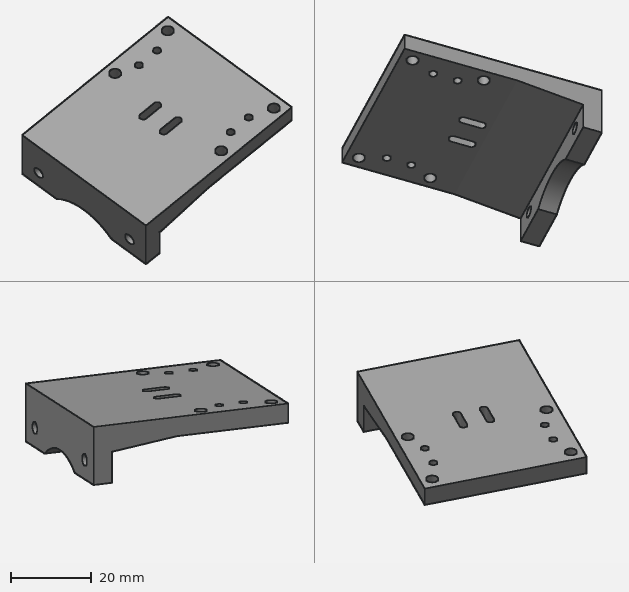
import cadquery as cq

width = 42.3
length = 52.5
height = 15.0
front_y = -length / 2
back_y = length / 2

plate_thickness = 5.0
flange_thickness = 5.0
flat_underside_length = 30.0
taper_drop = 2.0

motor_hole_diameter = 3.0
motor_hole_spacing = 31.0
motor_hole_height = 5.0
motor_axis_z = motor_hole_height - motor_hole_spacing / 2
motor_boss_radius = 14.0

mount_hole_diameter = 3.0
mount_hole_spacing = 36.2
mount_hole_setbacks = (3.3, 22.25)
pin_hole_diameter = 2.0
pin_hole_spacing = 31.3
pin_hole_setbacks = (9.75, 16.25)

slot_width = 2.0
slot_length = 7.0
slot_spacing = 7.0
slot_setback = 25.0


def mirrored_points(spacing, setbacks):
    """XY points on both sides of the centre plane, measured from the back edge."""
    return [(side * spacing / 2, back_y - setback) for side in (-1, 1) for setback in setbacks]


def bracket_body():
    """L-shaped side profile with a tapered underside, extruded across the width."""
    plate_underside = height - plate_thickness
    flange_back = front_y + flange_thickness
    profile = [
        (front_y, 0),
        (front_y, height),
        (back_y, height),
        (back_y, plate_underside),
        (back_y - flat_underside_length, plate_underside),
        (flange_back, plate_underside - taper_drop),
        (flange_back, 0),
    ]
    return cq.Workplane("YZ").polyline(profile).close().extrude(width / 2, both=True)


def plate_holes(diameter, spacing, setbacks):
    """Round cutters passing vertically through the plate."""
    points = mirrored_points(spacing, setbacks)
    return cq.Workplane("XY").pushPoints(points).circle(diameter / 2).extrude(height)


def plate_slots():
    """Round-ended cutters passing vertically through the plate."""
    points = mirrored_points(slot_spacing, (slot_setback,))
    return cq.Workplane("XY").pushPoints(points).slot2D(slot_length, slot_width, 90).extrude(height)


def flange_cylinders(points, diameter):
    """Round cutters through the flange along Y, placed at XZ points."""
    front_plane = cq.Workplane("XZ", origin=(0, front_y, 0))
    return front_plane.pushPoints(points).circle(diameter / 2).extrude(-flange_thickness)


motor_hole_points = [(side * motor_hole_spacing / 2, motor_hole_height) for side in (-1, 1)]

result = bracket_body()
result = result.cut(plate_holes(mount_hole_diameter, mount_hole_spacing, mount_hole_setbacks))
result = result.cut(plate_holes(pin_hole_diameter, pin_hole_spacing, pin_hole_setbacks))
result = result.cut(plate_slots())
result = result.cut(flange_cylinders(motor_hole_points, motor_hole_diameter))
result = result.cut(flange_cylinders([(0, motor_axis_z)], 2 * motor_boss_radius))